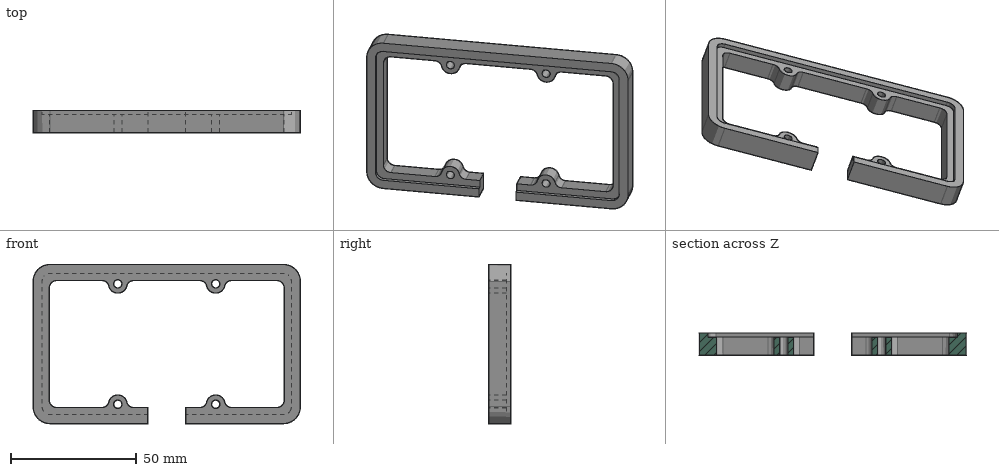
import cadquery as cq
import math

length = 106.6
depth = 9.0
height = 63.5
corner_radius = 6.8
side_wall = 6.5
rail_wall = 6.5
opening_radius = 3.0

hole_diameter = 3.2
hole_x = 19.5
hole_z = 24.0
boss_radius = 3.7
boss_fillet = 2.8

gap_width = 15.0

rebate_depth = 1.7
lip_width = 3.6
rebate_radius = corner_radius - lip_width

opening_length = length - 2 * side_wall
opening_height = height - 2 * rail_wall


def rounded_block(size_x, size_z, radius, front_y, size_y):
    """Block with rounded Y edges, centred in X and Z and starting at front_y."""
    block = cq.Workplane("XY").box(size_x, size_y, size_z)
    return block.edges("|Y").fillet(radius).translate((0, front_y + size_y / 2, 0))


def boss(x, side):
    """Boss blended into the rail; side is +1 for the upper rail and -1 for the lower."""
    rail_z = opening_height / 2
    blend_z = rail_z - boss_fillet
    blend_dx = math.sqrt((boss_radius + boss_fillet) ** 2 - (hole_z - blend_z) ** 2)
    toward_boss = boss_radius / (boss_radius + boss_fillet)
    touch_dx = blend_dx * toward_boss
    touch_z = hole_z + (blend_z - hole_z) * toward_boss

    start_angle = math.pi / 2
    end_angle = math.atan2(touch_z - blend_z, touch_dx - blend_dx)
    end_angle = end_angle % (2 * math.pi)
    mid_angle = (start_angle + end_angle) / 2
    mid_dx = blend_dx + boss_fillet * math.cos(mid_angle)
    mid_z = blend_z + boss_fillet * math.sin(mid_angle)
    root_z = rail_z + rail_wall / 2

    def point(dx, z):
        return (x + dx, side * z)

    profile = (
        cq.Workplane("XZ")
        .moveTo(*point(-blend_dx, root_z))
        .lineTo(*point(-blend_dx, rail_z))
        .threePointArc(point(-mid_dx, mid_z), point(-touch_dx, touch_z))
        .threePointArc(point(0, hole_z - boss_radius), point(touch_dx, touch_z))
        .threePointArc(point(mid_dx, mid_z), point(blend_dx, rail_z))
        .lineTo(*point(blend_dx, root_z))
        .close()
    )
    return profile.extrude(-depth)


frame = rounded_block(length, height, corner_radius, 0, depth)
frame = frame.cut(rounded_block(opening_length, opening_height, opening_radius, 0, depth))

hole_centers = [(x, side) for x in (-hole_x, hole_x) for side in (-1, 1)]
for x, side in hole_centers:
    frame = frame.union(boss(x, side))

for x, side in hole_centers:
    hole = cq.Workplane("XZ").center(x, side * hole_z).circle(hole_diameter / 2).extrude(-depth)
    frame = frame.cut(hole)

rebate = rounded_block(
    length - 2 * lip_width,
    height - 2 * lip_width,
    rebate_radius,
    depth - rebate_depth,
    rebate_depth,
)
frame = frame.cut(rebate)

gap = cq.Workplane("XY").box(gap_width, depth, height / 2)
gap = gap.translate((0, depth / 2, -height / 4))
result = frame.cut(gap)